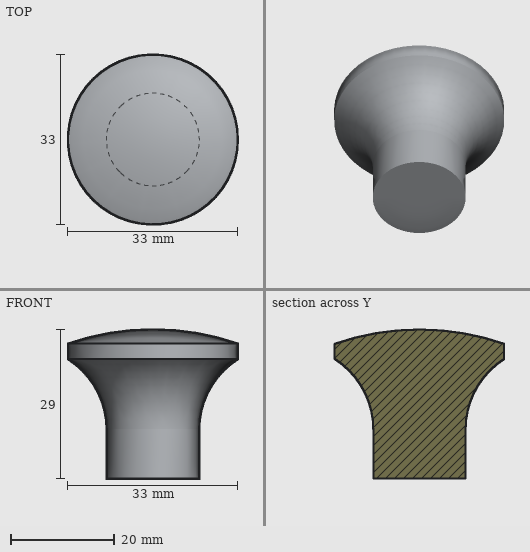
import cadquery as cq

head_diameter = 33.0
stem_diameter = 18.02
stem_height = 9.65
flare_height = 13.6
rim_height = 2.97
dome_height = 2.8

head_radius = head_diameter / 2
stem_radius = stem_diameter / 2

rim_bottom = stem_height + flare_height
rim_top = rim_bottom + rim_height
dome_top = rim_top + dome_height

dome_radius = (head_radius**2 + dome_height**2) / (2 * dome_height)
dome_mid_radius = head_radius / 2
dome_mid_height = dome_top - dome_radius + (dome_radius**2 - dome_mid_radius**2) ** 0.5

half_outline = (
    cq.Workplane("XZ")
    .lineTo(stem_radius, 0)
    .lineTo(stem_radius, stem_height)
    .tangentArcPoint((head_radius, rim_bottom), relative=False)
    .lineTo(head_radius, rim_top)
    .threePointArc((dome_mid_radius, dome_mid_height), (0, dome_top))
    .close()
)

result = half_outline.revolve(360, (0, 0, 0), (0, 1, 0))